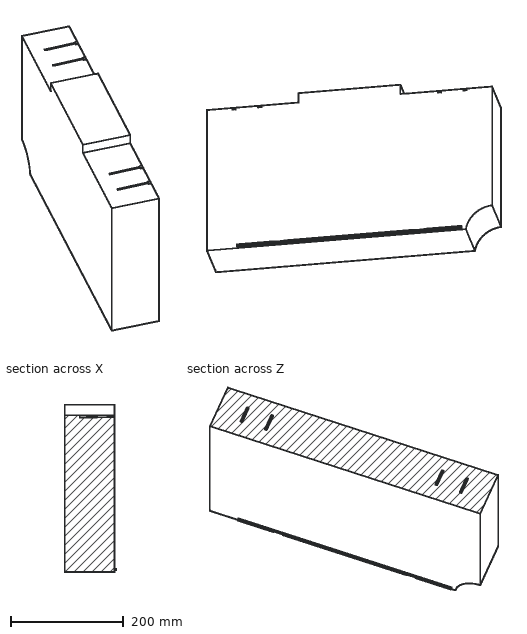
import cadquery as cq

LENGTH = 515.5
BLOCK_DEPTH = 88.5
SHOULDER_HEIGHT = 279.0
TOTAL_HEIGHT = 297.5

RAISED_LENGTH = 184.5
RAISED_START = (LENGTH - RAISED_LENGTH) / 2

BITE_RADIUS = 51.0
BITE_CENTRE_X = -3.0
BITE_CENTRE_Z = -7.5

SLOT_INSET = 49.0
SLOT_SPACING = 46.5
SLOT_WIDTH = 3.0
SLOT_HEIGHT = SLOT_WIDTH
SLOT_LENGTH = 62.0
SLOT_HEAD_WIDTH = 6.0
SLOT_HEAD_LENGTH = 4.5
SLOT_DROP_ANGLE = 1.4
MOUTH_OVERRUN = 5.0

RAIL_HEIGHT = 3.0
RAIL_BASE_Z = 3.0
RAIL_INSET = 54.5
PAD_PROJECTION = 3.0
WEB_PROJECTION = 1.5
GAP_START = 122.0
GAP_LENGTH = 18.0


def make_block_body():
    """Stepped slab, a rectangle with the raised centre portion on top."""
    base = cq.Workplane("XY").box(LENGTH, BLOCK_DEPTH, SHOULDER_HEIGHT, centered=False)
    raised = (
        cq.Workplane("XY")
        .box(RAISED_LENGTH, BLOCK_DEPTH, TOTAL_HEIGHT, centered=False)
        .translate((RAISED_START, 0, 0))
    )
    return base.union(raised)


def make_corner_bite():
    """Cylinder along Y that hollows the lower left corner through the full depth."""
    return (
        cq.Workplane("XZ")
        .center(BITE_CENTRE_X, BITE_CENTRE_Z)
        .circle(BITE_RADIUS)
        .extrude(-BLOCK_DEPTH)
    )


def make_slot(x):
    """T-shaped cutter whose flat roof starts at the top back edge and drops towards the front."""
    outline = [
        (SLOT_HEAD_WIDTH / 2, MOUTH_OVERRUN),
        (SLOT_HEAD_WIDTH / 2, -SLOT_HEAD_LENGTH),
        (SLOT_WIDTH / 2, -SLOT_HEAD_LENGTH),
        (SLOT_WIDTH / 2, -SLOT_LENGTH),
    ]
    mirrored = [(-px, py) for px, py in reversed(outline)]
    return (
        cq.Workplane("XY")
        .polyline(outline + mirrored)
        .close()
        .extrude(-SLOT_HEIGHT)
        .rotate((0, 0, 0), (1, 0, 0), SLOT_DROP_ANGLE)
        .translate((x, BLOCK_DEPTH, SHOULDER_HEIGHT))
    )


def make_block():
    block = make_block_body().cut(make_corner_bite())
    for inset in (SLOT_INSET, SLOT_INSET + SLOT_SPACING):
        for x in (inset, LENGTH - inset):
            block = block.cut(make_slot(x))
    return block


def make_rail():
    """Straight bar on the back face, thinned to a web at the two gaps between its pads."""
    rail = (
        cq.Workplane("XY")
        .box(LENGTH - 2 * RAIL_INSET, PAD_PROJECTION, RAIL_HEIGHT, centered=False)
        .translate((RAIL_INSET, BLOCK_DEPTH, RAIL_BASE_Z))
    )
    gap = cq.Workplane("XY").box(
        GAP_LENGTH, PAD_PROJECTION - WEB_PROJECTION, RAIL_HEIGHT, centered=False
    )
    for x in (GAP_START, LENGTH - GAP_START - GAP_LENGTH):
        rail = rail.cut(gap.translate((x, BLOCK_DEPTH + WEB_PROJECTION, RAIL_BASE_Z)))
    return rail


block = make_block()
rail = make_rail()
result = cq.Compound.makeCompound([*block.solids().vals(), *rail.solids().vals()])